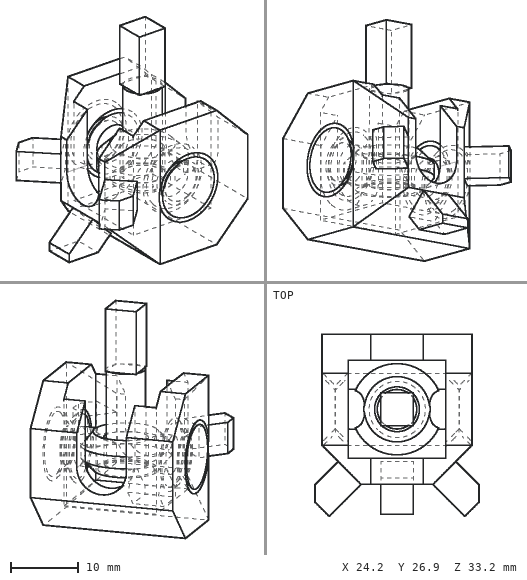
import cadquery as cq
import math

HOUSING_SIZE = 22.2
BEVEL = 5.8
POCKET_WIDTH = 14.37
POCKET_LENGTH = 14.5
SLOT_RADIUS = 3.87

BAR_WIDTH = 4.8
SIDE_PRONG_LONG_FLANK = 6.66
SIDE_PRONG_SHORT_FLANK = 4.825
LOWER_PRONG_REACH = 4.42

RING_HEIGHT = 5.72
RING_RADIUS = 6.74
RING_RIM_RADIUS = 4.82
RING_THROAT_RADIUS = 3.31
COUNTERSINK_DEPTH = 0.87
NECK_RADIUS = 2.92
TRUNNION_END_RADIUS = 4.82
JOINT_GAP = 0.66

SQUARE_LENGTH = 9.64
SHAFT_TOP = 22.12

half_housing = HOUSING_SIZE / 2
half_pocket = POCKET_WIDTH / 2
face_edge = half_housing - BEVEL
half_bar = BAR_WIDTH / 2
half_ring = RING_HEIGHT / 2
ring_chamfer = RING_RADIUS - RING_RIM_RADIUS
countersink_width = RING_RIM_RADIUS - RING_THROAT_RADIUS
diagonal = math.sqrt(0.5)
wall = half_housing - half_pocket
wall_middle = (half_housing + half_pocket) / 2


def revolve_about_x(profile):
    """Turn a list of (x, radius) points about the X axis."""
    return cq.Workplane("XY").polyline(profile).close().revolve(360, (0, 0, 0), (1, 0, 0))


def revolve_about_z(profile):
    """Turn a list of (radius, z) points about the Z axis."""
    return cq.Workplane("XZ").polyline(profile).close().revolve(360, (0, 0, 0), (0, 1, 0))


def make_side_prong():
    """Bar at 45 degrees on the -X front bevel, its outer corner cut parallel to the side wall."""
    inner_base = (-face_edge, -half_housing)
    outer_base = (inner_base[0] - BAR_WIDTH * diagonal, inner_base[1] + BAR_WIDTH * diagonal)
    short_run = SIDE_PRONG_SHORT_FLANK * diagonal
    long_run = SIDE_PRONG_LONG_FLANK * diagonal
    corner_cut = (SIDE_PRONG_LONG_FLANK - SIDE_PRONG_SHORT_FLANK) / diagonal
    outer_end = (outer_base[0] - short_run, outer_base[1] - short_run)
    return (
        cq.Workplane("XY")
        .workplane(offset=-half_bar)
        .polyline([
            inner_base,
            outer_base,
            outer_end,
            (outer_end[0], outer_end[1] - corner_cut),
            (inner_base[0] - long_run, inner_base[1] - long_run),
        ])
        .close()
        .extrude(BAR_WIDTH)
    )


def make_lower_prong():
    """Bar at 45 degrees on the lower front bevel, trimmed level with the housing's underside."""
    upper_base = (-half_housing, -face_edge)
    lower_base = (upper_base[0] + BAR_WIDTH * diagonal, upper_base[1] - BAR_WIDTH * diagonal)
    tip_y = -half_housing - LOWER_PRONG_REACH
    drop_to_underside = lower_base[1] + half_housing
    return (
        cq.Workplane("YZ")
        .workplane(offset=-half_bar)
        .polyline([
            upper_base,
            lower_base,
            (lower_base[0] - drop_to_underside, -half_housing),
            (tip_y, -half_housing),
            (tip_y, upper_base[1] - LOWER_PRONG_REACH),
        ])
        .close()
        .extrude(BAR_WIDTH)
    )


def make_trunnion_hole():
    """Hourglass hole through the -X wall, with its waist at mid-wall."""
    mouth = TRUNNION_END_RADIUS + JOINT_GAP
    waist = mouth - wall / 2
    return revolve_about_x([
        (-half_housing, 0),
        (-half_housing, mouth),
        (-wall_middle, waist),
        (-half_pocket, mouth),
        (-half_pocket, 0),
    ])


def make_housing():
    block = cq.Workplane("XY").box(HOUSING_SIZE, HOUSING_SIZE, HOUSING_SIZE)
    block = block.edges("|X").chamfer(BEVEL)

    for side in (-1, 1):
        corner = (
            cq.Workplane("XY")
            .workplane(offset=-half_housing)
            .polyline([
                (side * half_housing, -half_housing),
                (side * face_edge, -half_housing),
                (side * half_housing, -face_edge),
            ])
            .close()
            .extrude(HOUSING_SIZE)
        )
        block = block.cut(corner)

    pocket = (
        cq.Workplane("XY")
        .workplane(offset=-half_pocket)
        .rect(POCKET_WIDTH, POCKET_LENGTH)
        .extrude(half_pocket + half_housing)
    )
    block = block.cut(pocket)

    slot = (
        cq.Workplane("XZ")
        .moveTo(-SLOT_RADIUS, half_housing)
        .lineTo(-SLOT_RADIUS, 0)
        .threePointArc((0, -SLOT_RADIUS), (SLOT_RADIUS, 0))
        .lineTo(SLOT_RADIUS, half_housing)
        .close()
        .extrude(half_housing, both=True)
    )
    block = block.cut(slot)

    hole = make_trunnion_hole()
    block = block.cut(hole).cut(hole.mirror("YZ"))

    prong = make_side_prong()
    return block.union(prong).union(prong.mirror("YZ")).union(make_lower_prong())


def make_trunnion():
    """Neck from the ring to the -X wall, waisted inside the wall and flush with both wall faces."""
    waist_start = TRUNNION_END_RADIUS - NECK_RADIUS
    return revolve_about_x([
        (-half_housing, 0),
        (-half_housing, TRUNNION_END_RADIUS),
        (-half_housing + waist_start, NECK_RADIUS),
        (-half_pocket - waist_start, NECK_RADIUS),
        (-half_pocket, TRUNNION_END_RADIUS),
        (-half_pocket, NECK_RADIUS),
        (-RING_THROAT_RADIUS, NECK_RADIUS),
        (-RING_THROAT_RADIUS, 0),
    ])


def make_cross():
    """Ring with a countersunk bore, carried on two trunnions."""
    ring = revolve_about_z([
        (0, half_ring),
        (RING_RIM_RADIUS, half_ring),
        (RING_RADIUS, half_ring - ring_chamfer),
        (RING_RADIUS, ring_chamfer - half_ring),
        (RING_RIM_RADIUS, -half_ring),
        (0, -half_ring),
    ])
    half_throat = half_ring - COUNTERSINK_DEPTH
    bore_reach = half_ring + COUNTERSINK_DEPTH
    bore_end = RING_RIM_RADIUS + countersink_width
    bore = revolve_about_z([
        (0, bore_reach),
        (bore_end, bore_reach),
        (RING_THROAT_RADIUS, half_throat),
        (RING_THROAT_RADIUS, -half_throat),
        (bore_end, -bore_reach),
        (0, -bore_reach),
    ])
    trunnion = make_trunnion()
    return ring.union(trunnion).union(trunnion.mirror("YZ")).cut(bore)


def make_shaft():
    """Round shaft with a flared foot held in the ring, and a square drive end."""
    foot_radius = RING_RIM_RADIUS - JOINT_GAP
    flare_height = (foot_radius - NECK_RADIUS) * COUNTERSINK_DEPTH / countersink_width
    square_base = SHAFT_TOP - SQUARE_LENGTH
    round_part = revolve_about_z([
        (0, square_base),
        (NECK_RADIUS, square_base),
        (NECK_RADIUS, flare_height - half_ring),
        (foot_radius, -half_ring),
        (0, -half_ring),
    ])
    square_part = (
        cq.Workplane("XY")
        .workplane(offset=square_base)
        .rect(BAR_WIDTH, BAR_WIDTH)
        .extrude(SQUARE_LENGTH)
    )
    return round_part.union(square_part)


housing = make_housing()
cross = make_cross()
shaft = make_shaft()

result = cq.Compound.makeCompound([housing.solids().val(), cross.solids().val(), shaft.solids().val()])